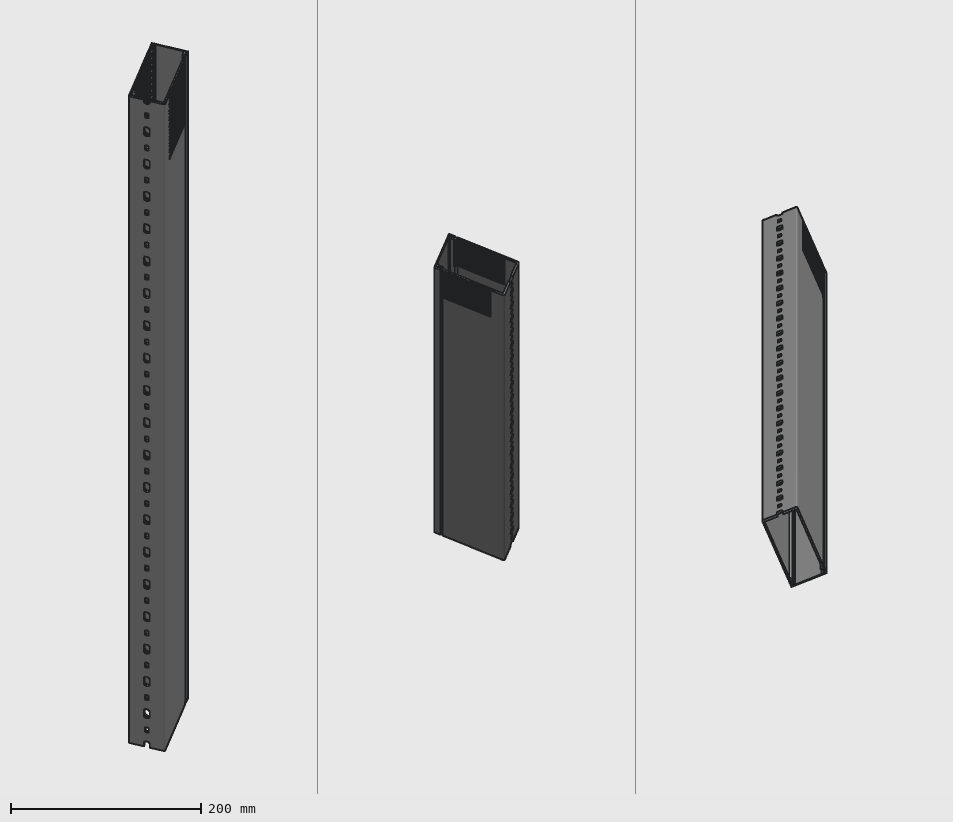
import cadquery as cq

length = 1000.0
width = 40.0
depth = 80.0

wall_thickness = 2.0
floor_thickness = 2.5
lid_thickness = 1.2

skirt_depth = 7.0
neck_inset = 2.0
shoulder_rise = 2.7
inner_bend_drop = 1.0
lip_width = 3.0
lip_thickness = 2.0
corner_radius = 1.5

slot_count = 10
slot_pitch = 10.0
slot_width = 4.0
slot_bottom_y = -24.0
first_slot_drop = 8.5

hole_pitch = 50.0
first_large_hole_z = 1.5
large_hole_width = 6.5
large_hole_length = 14.0
small_hole_width = 4.3
small_hole_length = 8.0

boss_diameter = 15.0
boss_height = 1.5

floor_y = -depth / 2
floor_top_y = floor_y + floor_thickness
lid_y = depth / 2
lid_inner_y = lid_y - lid_thickness
skirt_y = lid_y - skirt_depth
shoulder_y = skirt_y - shoulder_rise
neck_width = width - 2 * neck_inset
large_hole_spaces = int((length - first_large_hole_z + large_hole_length / 2) / hole_pitch)
large_hole_zs = [first_large_hole_z + i * hole_pitch for i in range(large_hole_spaces + 1)]
small_hole_zs = [z + hole_pitch / 2 for z in large_hole_zs[:-1]]


def bar(size_x, size_y, size_z, bottom_y, bottom_z):
    """Block centred on X = 0 that rises from the given Y and Z."""
    block = cq.Workplane("XY").box(size_x, size_y, size_z, centered=(True, False, False))
    return block.translate((0, bottom_y, bottom_z))


def floor_plane(y, zs):
    """Workplane parallel to the floor with a point on its centre line at each Z."""
    return cq.Workplane("XZ", origin=(0, y, 0)).pushPoints([(0, z) for z in zs])


def channel_body():
    """Open U profile whose walls step inwards at a shoulder and end in inward lips."""
    outer_x = width / 2
    inner_x = outer_x - wall_thickness
    neck_x = neck_width / 2
    neck_inner_x = neck_x - wall_thickness
    lip_x = neck_x - lip_width
    lip_bottom_y = lid_inner_y - lip_thickness
    inner_bend_y = shoulder_y - inner_bend_drop
    right_side = [
        (outer_x, floor_y),
        (outer_x, shoulder_y),
        (neck_x, skirt_y),
        (neck_x, lid_inner_y),
        (lip_x, lid_inner_y),
        (lip_x, lip_bottom_y),
        (neck_inner_x, lip_bottom_y),
        (neck_inner_x, inner_bend_y + shoulder_rise),
        (inner_x, inner_bend_y),
        (inner_x, floor_top_y),
    ]
    left_side = [(-x, y) for x, y in reversed(right_side)]
    body = cq.Workplane("XY").polyline(right_side + left_side).close().extrude(length)
    return body.edges("|Z and <Y").fillet(corner_radius)


def floor_bosses():
    """Bosses run from the outer floor face so that they merge with the floor."""
    height = floor_thickness + boss_height
    return floor_plane(floor_y, large_hole_zs[1::2]).circle(boss_diameter / 2).extrude(-height)


def floor_holes(zs, hole_length, hole_width):
    """Round-ended holes, long in Z, through the floor and its bosses."""
    height = floor_thickness + boss_height
    upright = 90
    return floor_plane(floor_y, zs).slot2D(hole_length, hole_width, upright).extrude(-height)


def make_channel():
    body = channel_body().union(floor_bosses())
    body = body.cut(floor_holes(large_hole_zs, large_hole_length, large_hole_width))
    body = body.cut(floor_holes(small_hole_zs, small_hole_length, small_hole_width))
    for i in range(slot_count):
        slot_z = length - first_slot_drop - i * slot_pitch - slot_width / 2
        body = body.cut(bar(width, skirt_y - slot_bottom_y, slot_width, slot_bottom_y, slot_z))
    return body


def make_lid():
    """Flat cover whose two skirts hug the necks of the channel walls."""
    cover = bar(width, skirt_depth, length, skirt_y, 0)
    return cover.cut(bar(neck_width, skirt_depth - lid_thickness, length, skirt_y, 0))


channel = make_channel()
lid = make_lid()
result = cq.Compound.makeCompound([channel.solids().val(), lid.solids().val()])